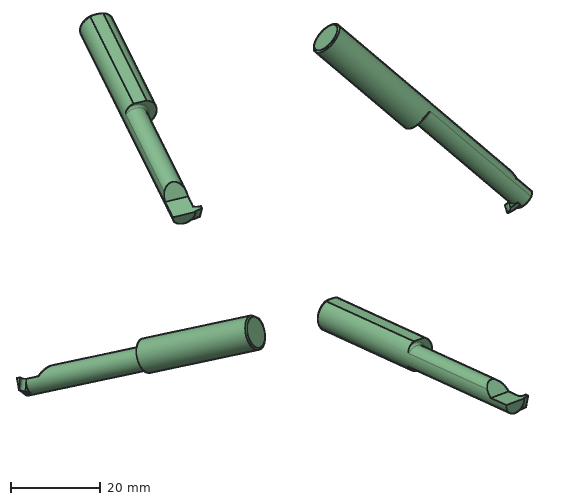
import cadquery as cq

total_length = 63.5
shank_length = 29.85
shank_diameter = 7.95
shank_radius = shank_diameter / 2
overall_height = 7.6
flat_height = overall_height - shank_radius
chamfer_length = 0.25
chamfer_depth = 0.45

full_turn = 360
bar_axis = ((0, 0, 0), (1, 0, 0))

neck_radius = 2.8
neck_offset = -1.35
neck_fillet = 0.6

tip_length = 5.2

tooth_reach = 3.2
tooth_back = 1.4
tooth_front = 0.6
tooth_front_root = 0.2
tooth_root_width = 0.6
tooth_root_radius = 1.3
tooth_relief_angle = 8
tooth_straight = 0.65


def rod(radius, start, end, center_y=0):
    """Cylinder along X between two stations."""
    return (
        cq.Workplane("YZ", origin=(start, 0, 0))
        .center(center_y, 0)
        .circle(radius)
        .extrude(end - start)
    )


def make_shank():
    chamfer_profile = [
        (0, 0),
        (0, shank_radius - chamfer_depth),
        (chamfer_length, shank_radius),
        (shank_length, shank_radius),
        (shank_length, 0),
    ]
    shank = cq.Workplane("XY").polyline(chamfer_profile).close().revolve(full_turn, *bar_axis)
    above_flat = cq.Workplane("XY", origin=(0, 0, flat_height)).box(
        shank_length, shank_diameter, shank_diameter, centered=(False, True, False)
    )
    return shank.cut(above_flat)


def make_neck():
    neck = rod(neck_radius, shank_length, total_length, neck_offset)
    flare = (
        cq.Workplane("XY", origin=(shank_length, neck_offset, 0))
        .lineTo(0, neck_radius + neck_fillet)
        .radiusArc((neck_fillet, neck_radius), -neck_fillet)
        .lineTo(neck_fillet, 0)
        .close()
        .revolve(full_turn, *bar_axis)
    )
    envelope = rod(shank_radius, shank_length, total_length)
    return neck.union(flare).intersect(envelope)


def make_tip_cut():
    ramp_end = total_length - tip_length
    return (
        cq.Workplane("XZ")
        .moveTo(ramp_end, 0)
        .lineTo(total_length, 0)
        .lineTo(total_length, shank_radius)
        .lineTo(ramp_end - shank_radius, shank_radius)
        .close()
        .extrude(shank_radius, both=True)
    )


def make_tooth():
    root_y = neck_offset + neck_radius
    back_x = total_length - tooth_back
    tooth = (
        cq.Workplane("XY")
        .moveTo(back_x - tooth_root_width, neck_offset)
        .lineTo(back_x - tooth_root_width, root_y)
        .radiusArc((back_x, tooth_reach - tooth_straight), -tooth_root_radius)
        .lineTo(back_x, tooth_reach)
        .lineTo(total_length - tooth_front, tooth_reach)
        .lineTo(total_length - tooth_front_root, root_y)
        .lineTo(total_length - tooth_front_root, neck_offset)
        .close()
        .extrude(-neck_radius, taper=tooth_relief_angle)
    )
    return tooth.intersect(rod(shank_radius, shank_length, total_length))


result = make_shank().union(make_neck().cut(make_tip_cut())).union(make_tooth())